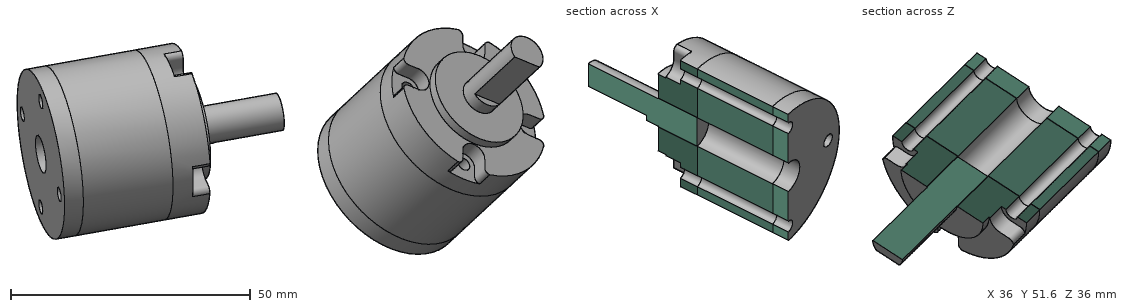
import cadquery as cq
import math

LENGTH = 51.65
BODY_RADIUS = 36.0 / 2
COVER_THICKNESS = 4.1
RING_LENGTH = 19.45
FLANGE_THICKNESS = 8.15

PILOT_DIAMETER = 22.0
PILOT_HEIGHT = 2.0

SHAFT_DIAMETER = 8.0
FLAT_LENGTH = 15.0
FLAT_OFFSET = 2.55

SCREW_COUNT = 4
SCREW_DIAMETER = 3.0
SCREW_CIRCLE_RADIUS = 14.0
RECESS_WIDTH = 5.5
RECESS_DEPTH = 3.75
RECESS_LIP_RADIUS = 1.25

RING_START = COVER_THICKNESS
FLANGE_START = RING_START + RING_LENGTH
FLANGE_END = FLANGE_START + FLANGE_THICKNESS


def cylinder(diameter, start, length, x=0, z=0):
    """Cylinder along +Y that starts at Y = start."""
    base = cq.Workplane("XZ", origin=(x, start, z))
    return base.circle(diameter / 2).extrude(-length)


def drilled_disc(start, length):
    """Round section with the central bore and the screw holes."""
    disc = cylinder(2 * BODY_RADIUS, start, length)
    disc = disc.cut(cylinder(SHAFT_DIAMETER, start, length))
    for index in range(SCREW_COUNT):
        angle = math.radians(index * 360 / SCREW_COUNT)
        x = SCREW_CIRCLE_RADIUS * math.cos(angle)
        z = SCREW_CIRCLE_RADIUS * math.sin(angle)
        disc = disc.cut(cylinder(SCREW_DIAMETER, start, length, x, z))
    return disc


def screw_recess():
    """Round-bottomed slot at +Z whose walls curve outward to the rim."""
    half_width = RECESS_WIDTH / 2
    mouth_half = half_width + RECESS_LIP_RADIUS
    mouth_z = math.sqrt(BODY_RADIUS**2 - mouth_half**2)
    lip_z = mouth_z - RECESS_LIP_RADIUS
    lip_mid_x = mouth_half - RECESS_LIP_RADIUS * math.sqrt(0.5)
    lip_mid_z = lip_z + RECESS_LIP_RADIUS * math.sqrt(0.5)
    return (
        cq.Workplane("XZ", origin=(0, FLANGE_END, 0))
        .moveTo(-mouth_half, mouth_z)
        .threePointArc((-lip_mid_x, lip_mid_z), (-half_width, lip_z))
        .lineTo(-half_width, SCREW_CIRCLE_RADIUS)
        .threePointArc((0, SCREW_CIRCLE_RADIUS - half_width), (half_width, SCREW_CIRCLE_RADIUS))
        .lineTo(half_width, lip_z)
        .threePointArc((lip_mid_x, lip_mid_z), (mouth_half, mouth_z))
        .threePointArc((0, BODY_RADIUS), (-mouth_half, mouth_z))
        .close()
        .extrude(RECESS_DEPTH)
    )


def make_flange():
    """Output flange with a pilot boss and recesses for the screw heads."""
    flange = drilled_disc(FLANGE_START, FLANGE_THICKNESS)
    pilot = cylinder(PILOT_DIAMETER, FLANGE_END, PILOT_HEIGHT)
    pilot = pilot.cut(cylinder(SHAFT_DIAMETER, FLANGE_END, PILOT_HEIGHT))
    flange = flange.union(pilot)
    recess = screw_recess()
    for index in range(SCREW_COUNT):
        angle = index * 360 / SCREW_COUNT
        flange = flange.cut(recess.rotate((0, 0, 0), (0, 1, 0), angle))
    return flange


def make_shaft():
    """Shaft from the flange's inner face to the tip, with a flat at the tip."""
    shaft = cylinder(SHAFT_DIAMETER, FLANGE_START, LENGTH - FLANGE_START)
    flat_cutter = cq.Workplane("XY").box(
        SHAFT_DIAMETER, FLAT_LENGTH, SHAFT_DIAMETER, centered=(True, False, False)
    )
    flat_bottom = -FLAT_OFFSET - SHAFT_DIAMETER
    return shaft.cut(flat_cutter.translate((0, LENGTH - FLAT_LENGTH, flat_bottom)))


end_cover = drilled_disc(0, COVER_THICKNESS)
ring_housing = drilled_disc(RING_START, RING_LENGTH)
flange = make_flange()
shaft = make_shaft()

result = cq.Compound.makeCompound([end_cover.val(), ring_housing.val(), flange.val(), shaft.val()])